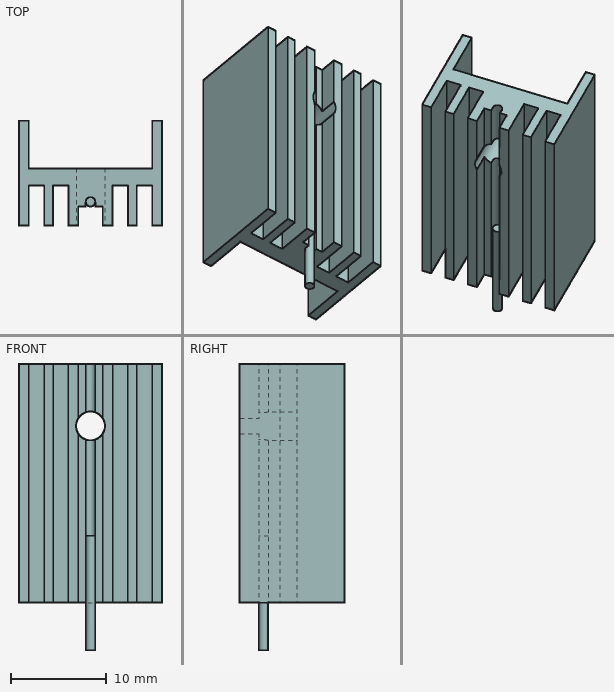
import cadquery as cq

sink_width = 15.0
sink_depth = 11.0
sink_length = 25.0
side_wall = 1.04
rear_channel_depth = 5.0
web_thickness = 1.8

fin_slot_width = 1.6
inner_fin_width = 0.94
center_channel_width = 2.54
center_channel_depth = 2.0

pin_diameter = 1.0
pin_protrusion = 5.0
pin_insertion = 7.0

hole_diameter = 3.0
hole_below_top = 6.5

front_y = -sink_depth / 2
fin_depth = sink_depth - rear_channel_depth - web_thickness
web_rear_y = front_y + fin_depth + web_thickness
outer_slot_x = sink_width / 2 - side_wall - fin_slot_width / 2
inner_slot_x = outer_slot_x - fin_slot_width - inner_fin_width
channel_floor_y = front_y + center_channel_depth
pin_y = channel_floor_y + pin_diameter / 2


def lengthwise_channel(x_center, y_start, width, depth):
    """Cutter for a full-length channel reaching from y_start toward +Y."""
    return (
        cq.Workplane("XY")
        .center(x_center, y_start + depth / 2)
        .rect(width, depth)
        .extrude(sink_length)
    )


def make_pin_groove():
    """Cutter for the U-shaped groove: a round bottom with a straight mouth."""
    mouth = lengthwise_channel(0, channel_floor_y, pin_diameter, pin_y - channel_floor_y)
    round_bottom = (
        cq.Workplane("XY")
        .center(0, pin_y)
        .circle(pin_diameter / 2)
        .extrude(sink_length)
    )
    return mouth.union(round_bottom)


def make_mounting_hole():
    """Cutter for the hole along Y, which also notches the central fins."""
    return (
        cq.Workplane("XZ", origin=(0, sink_depth / 2, 0))
        .center(0, sink_length - hole_below_top)
        .circle(hole_diameter / 2)
        .extrude(sink_depth)
    )


def make_heat_sink():
    sink = cq.Workplane("XY").rect(sink_width, sink_depth).extrude(sink_length)
    rear_channel_width = sink_width - 2 * side_wall
    sink = sink.cut(lengthwise_channel(0, web_rear_y, rear_channel_width, rear_channel_depth))
    for slot_x in (-outer_slot_x, -inner_slot_x, inner_slot_x, outer_slot_x):
        sink = sink.cut(lengthwise_channel(slot_x, front_y, fin_slot_width, fin_depth))
    sink = sink.cut(lengthwise_channel(0, front_y, center_channel_width, center_channel_depth))
    sink = sink.cut(make_pin_groove())
    return sink.cut(make_mounting_hole())


def make_pin():
    return (
        cq.Workplane("XY", origin=(0, pin_y, -pin_protrusion))
        .circle(pin_diameter / 2)
        .extrude(pin_protrusion + pin_insertion)
    )


heat_sink = make_heat_sink()
pin = make_pin()

result = cq.Compound.makeCompound([heat_sink.val(), pin.val()])